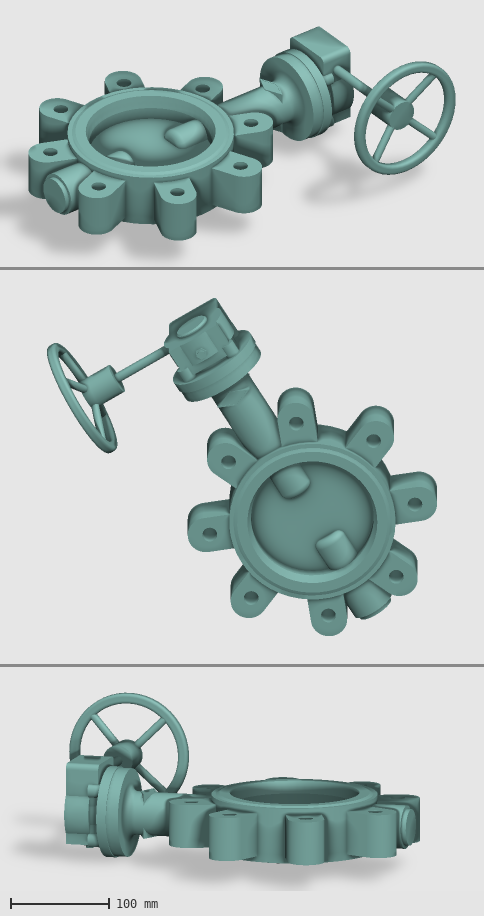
import cadquery as cq
import math


RING_RADIUS = 84.5
RING_HALF_HEIGHT = 28.0
FACE_RADIUS = 80.0
FACE_RIM_RADIUS = 76.5
FACE_HALF_HEIGHT = 29.8
BORE_RADIUS = 62.5
BORE_MOUTH_RADIUS = 66.0
BORE_TAPER_DEPTH = 12.5
WALL_MIDDLE_RADIUS = (BORE_MOUTH_RADIUS + RING_RADIUS) / 2

DISC_HALF_THICKNESS = 4.5
HUB_RADIUS = 17.5
UPPER_HUB_TIP_Y = 26.0
LOWER_HUB_TIP_Y = -28.0
HUB_TIP_FILLET = 7.2

LUG_COUNT = 8
LUG_STEP = 360 / LUG_COUNT
LUG_END_DISTANCE = 109.5
LUG_END_RADIUS = 18.5
LUG_HALF_HEIGHT = 22.0
LUG_HOLE_DISTANCE = 105.5
LUG_HOLE_DIAMETER = 15.0

NECK_RADIUS = 22.0
LOWER_NECK_END_Y = -118.5
PLUG_RADIUS = 18.5
PLUG_END_Y = -123.0
FLANGE_RADIUS = 45.0
FLANGE_START_Y = 174.0
JOINT_Y = 186.5
NECK_FILLET = 7.5

PAD_CENTRE_Y = 154.0
PAD_HALF_WIDTH = 19.0
PAD_HALF_LENGTH = 8.5
PAD_TOP_Z = 23.0
PAD_RECESS_SCALE = 0.8
PAD_RECESS_DEPTH = 0.5

GEARBOX_FLANGE_RADIUS = 46.3
GEARBOX_FLANGE_END_Y = 196.5
COLLAR_RADIUS = 29.8
HOUSING_RADIUS = 34.2
HOUSING_START_Y = 208.5
BOX_START_Y = 199.5
BOX_END_Y = 234.0
BOX_HALF_WIDTH = 28.0
BOX_TOP_Z = 52.5
BOX_BOTTOM_Z = -30.5
BOX_FILLET = 6.0
COVER_RADIUS = 17.7
COVER_HEIGHT = 3.5
COVER_CHAMFER = 1.5
BOSS_OFFSET = 25.5
BOSS_RADIUS = 7.2
BOSS_END_Y = 209.7

SHAFT_Y = 216.5
SHAFT_Z = 33.5
SHAFT_RADIUS = 5.0
WHEEL_HUB_RADIUS = 15.5
WHEEL_HUB_START_X = 100.5
RIM_START_X = 137.0
RIM_END_X = 147.0
RIM_OUTER_RADIUS = 62.8
RIM_INNER_RADIUS = 52.5
RIM_FILLET = 3.2
SPOKE_COUNT = 4
SPOKE_STEP = 360 / SPOKE_COUNT
SPOKE_RADIUS = 4.0
SPOKE_RISE = 12.0

NUT_ACROSS_FLATS = 10.5
NUT_HEIGHT = 5.2
SCREW_DIAMETER = 7.5
SCREW_LENGTH = 7.5


def cylinder_y(radius, start_y, end_y, x=0, z=0):
    """Cylinder whose axis is parallel to Y."""
    base = cq.Plane(origin=(x, start_y, z), xDir=(1, 0, 0), normal=(0, 1, 0))
    return cq.Workplane(base).circle(radius).extrude(end_y - start_y)


def cylinder_x(radius, start_x, end_x):
    """Cylinder on the hand-wheel axis."""
    base = cq.Workplane("YZ", origin=(start_x, SHAFT_Y, SHAFT_Z))
    return base.circle(radius).extrude(end_x - start_x)


def disc_z(radius, half_height):
    """Cylinder on the flow axis, centred on the XY plane."""
    return cq.Workplane("XY").circle(radius).extrude(half_height, both=True)


def make_ring():
    """Ring with a stepped, bevelled sealing face on each side."""
    profile = [
        (0, -FACE_HALF_HEIGHT),
        (FACE_RIM_RADIUS, -FACE_HALF_HEIGHT),
        (FACE_RADIUS, -RING_HALF_HEIGHT),
        (RING_RADIUS, -RING_HALF_HEIGHT),
        (RING_RADIUS, RING_HALF_HEIGHT),
        (FACE_RADIUS, RING_HALF_HEIGHT),
        (FACE_RIM_RADIUS, FACE_HALF_HEIGHT),
        (0, FACE_HALF_HEIGHT),
    ]
    return cq.Workplane("XZ").polyline(profile).close().revolve(360, (0, 0), (0, 1))


def make_bore():
    """Flow passage that widens towards both mouths."""
    taper_z = FACE_HALF_HEIGHT - BORE_TAPER_DEPTH
    profile = [
        (0, -FACE_HALF_HEIGHT),
        (BORE_MOUTH_RADIUS, -FACE_HALF_HEIGHT),
        (BORE_RADIUS, -taper_z),
        (BORE_RADIUS, taper_z),
        (BORE_MOUTH_RADIUS, FACE_HALF_HEIGHT),
        (0, FACE_HALF_HEIGHT),
    ]
    return cq.Workplane("XZ").polyline(profile).close().revolve(360, (0, 0), (0, 1))


def make_lug(angle):
    """Round-ended arm that starts inside the ring wall."""
    lug = (
        cq.Workplane("XY")
        .moveTo(WALL_MIDDLE_RADIUS, -LUG_END_RADIUS)
        .lineTo(LUG_END_DISTANCE, -LUG_END_RADIUS)
        .threePointArc((LUG_END_DISTANCE + LUG_END_RADIUS, 0), (LUG_END_DISTANCE, LUG_END_RADIUS))
        .lineTo(WALL_MIDDLE_RADIUS, LUG_END_RADIUS)
        .close()
        .extrude(LUG_HALF_HEIGHT, both=True)
    )
    hole = disc_z(LUG_HOLE_DIAMETER / 2, LUG_HALF_HEIGHT).translate((LUG_HOLE_DISTANCE, 0, 0))
    return lug.cut(hole).rotate((0, 0, 0), (0, 0, 1), angle)


def make_upper_neck():
    """Stem neck that flares with a fillet into the mounting flange."""
    fillet_mid = NECK_FILLET * (1 - math.sqrt(0.5))
    return (
        cq.Workplane("XY")
        .moveTo(0, 0)
        .lineTo(NECK_RADIUS, 0)
        .lineTo(NECK_RADIUS, FLANGE_START_Y - NECK_FILLET)
        .threePointArc(
            (NECK_RADIUS + fillet_mid, FLANGE_START_Y - fillet_mid),
            (NECK_RADIUS + NECK_FILLET, FLANGE_START_Y),
        )
        .lineTo(FLANGE_RADIUS, FLANGE_START_Y)
        .lineTo(FLANGE_RADIUS, JOINT_Y)
        .lineTo(0, JOINT_Y)
        .close()
        .revolve(360, (0, 0), (0, 1))
    )


def diamond(scale, start_z, end_z):
    """Diamond-shaped prism over the upper neck."""
    half_width = scale * PAD_HALF_WIDTH
    half_length = scale * PAD_HALF_LENGTH
    corners = [(half_width, 0), (0, half_length), (-half_width, 0), (0, -half_length)]
    base = cq.Workplane("XY", origin=(0, PAD_CENTRE_Y, start_z))
    return base.polyline(corners).close().extrude(end_z - start_z)


def make_pads():
    """Diamond pads on both sides of the neck, each with a recessed face."""
    recess_z = PAD_TOP_Z - PAD_RECESS_DEPTH
    pads = diamond(1, -PAD_TOP_Z, PAD_TOP_Z)
    pads = pads.cut(diamond(PAD_RECESS_SCALE, recess_z, PAD_TOP_Z))
    return pads.cut(diamond(PAD_RECESS_SCALE, -PAD_TOP_Z, -recess_z))


def make_stem_hub(tip_distance):
    """Hub on the +Y side of the disc, rounded at the inner end and rooted in the ring wall."""
    hub = cylinder_y(HUB_RADIUS, tip_distance, WALL_MIDDLE_RADIUS)
    return hub.faces("<Y").edges().fillet(HUB_TIP_FILLET)


def make_valve():
    """Valve ring, lugs, necks and closed disc."""
    valve = make_ring()
    valve = valve.union(make_upper_neck())
    valve = valve.union(make_pads())
    valve = valve.union(cylinder_y(NECK_RADIUS, LOWER_NECK_END_Y, 0))
    valve = valve.union(cylinder_y(PLUG_RADIUS, PLUG_END_Y, LOWER_NECK_END_Y))
    valve = valve.cut(make_bore())
    for index in range(LUG_COUNT):
        valve = valve.union(make_lug((index + 0.5) * LUG_STEP))
    valve = valve.union(make_stem_hub(UPPER_HUB_TIP_Y))
    valve = valve.union(make_stem_hub(-LOWER_HUB_TIP_Y).mirror("XZ"))
    return valve.union(disc_z(WALL_MIDDLE_RADIUS, DISC_HALF_THICKNESS))


def make_gearbox():
    """Gear housing with its mounting flange, screw bosses and end cover."""
    gearbox = (
        cq.Workplane("XY")
        .box(
            2 * BOX_HALF_WIDTH,
            BOX_END_Y - BOX_START_Y,
            BOX_TOP_Z - BOX_BOTTOM_Z,
            centered=(True, False, False),
        )
        .translate((0, BOX_START_Y, BOX_BOTTOM_Z))
        .edges("|Y and >Z")
        .fillet(BOX_FILLET)
    )
    cover = cylinder_y(COVER_RADIUS, BOX_END_Y, BOX_END_Y + COVER_HEIGHT)
    gearbox = gearbox.union(cylinder_y(HOUSING_RADIUS, HOUSING_START_Y, BOX_END_Y))
    gearbox = gearbox.union(cover.faces(">Y").edges().chamfer(COVER_CHAMFER))
    gearbox = gearbox.union(cylinder_y(COLLAR_RADIUS, GEARBOX_FLANGE_END_Y, HOUSING_START_Y))
    gearbox = gearbox.union(cylinder_y(GEARBOX_FLANGE_RADIUS, JOINT_Y, GEARBOX_FLANGE_END_Y))
    for x in (-BOSS_OFFSET, BOSS_OFFSET):
        for z in (-BOSS_OFFSET, BOSS_OFFSET):
            gearbox = gearbox.union(cylinder_y(BOSS_RADIUS, GEARBOX_FLANGE_END_Y, BOSS_END_Y, x, z))
    return gearbox


def make_stop_screw():
    """Hexagon nut and screw end below the gearbox."""
    base = cq.Workplane("XY", origin=(0, SHAFT_Y, BOX_BOTTOM_Z))
    across_corners = NUT_ACROSS_FLATS / math.cos(math.pi / 6)
    nut = base.polygon(6, across_corners).extrude(-NUT_HEIGHT)
    return nut.union(base.circle(SCREW_DIAMETER / 2).extrude(-SCREW_LENGTH))


def make_spoke(angle):
    """Round spoke that leans from the wheel hub out to the middle of the rim."""
    rim_mid_x = (RIM_START_X + RIM_END_X) / 2
    rim_mid_radius = (RIM_OUTER_RADIUS + RIM_INNER_RADIUS) / 2
    root = cq.Vector(rim_mid_x - SPOKE_RISE, SHAFT_Y, SHAFT_Z)
    along = cq.Vector(SPOKE_RISE, rim_mid_radius, 0)
    spoke = cq.Workplane(cq.Solid.makeCylinder(SPOKE_RADIUS, along.Length, root, along))
    return spoke.rotate((0, SHAFT_Y, SHAFT_Z), (1, SHAFT_Y, SHAFT_Z), angle)


def make_hand_wheel():
    """Shaft, hub, spokes and rounded rim."""
    rim = cylinder_x(RIM_OUTER_RADIUS, RIM_START_X, RIM_END_X)
    rim = rim.cut(cylinder_x(RIM_INNER_RADIUS, RIM_START_X, RIM_END_X))
    rim = rim.edges("%CIRCLE").fillet(RIM_FILLET)
    wheel = cylinder_x(SHAFT_RADIUS, 0, WHEEL_HUB_START_X)
    wheel = wheel.union(cylinder_x(WHEEL_HUB_RADIUS, WHEEL_HUB_START_X, RIM_START_X))
    for index in range(SPOKE_COUNT):
        wheel = wheel.union(make_spoke((index + 0.5) * SPOKE_STEP))
    return wheel.union(rim)


def make_gear_operator():
    """Gearbox, stop screw and hand wheel."""
    operator = make_gearbox()
    operator = operator.union(make_stop_screw())
    return operator.union(make_hand_wheel())


valve = make_valve()
gear_operator = make_gear_operator()
result = cq.Compound.makeCompound([valve.val(), gear_operator.val()])